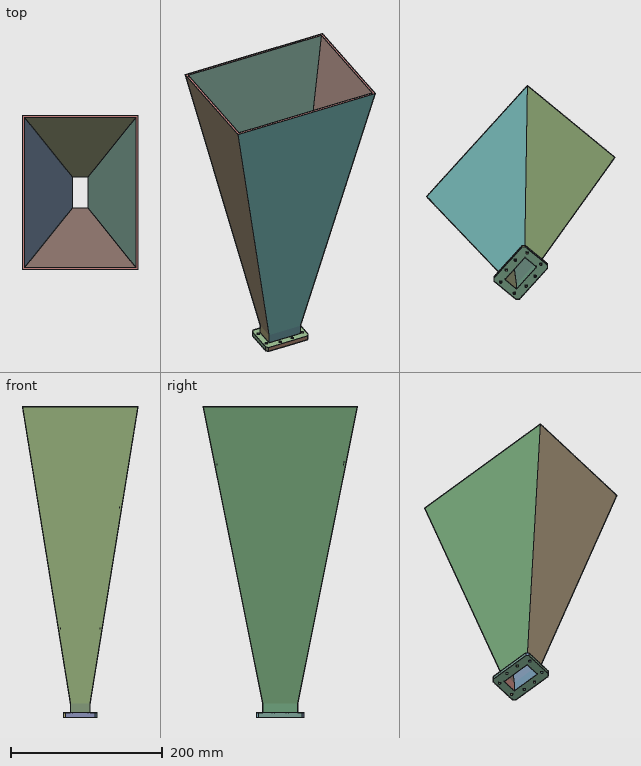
import cadquery as cq

bore_x = 20.15
bore_y = 40.4
neck_wall = 3.0
neck_x = bore_x + 2 * neck_wall
neck_y = bore_y + 2 * neck_wall

mouth_x = 152.6
mouth_y = 203.61
rim_wall = 3.1

total_height = 410.0
flange_thickness = 6.4
neck_top = 18.3

flange_x = 44.65
flange_y = 63.1
flange_chamfer = 3.0

hole_diameter = 3.2
end_hole_x = 12.0
end_hole_y = 26.7
side_hole_x = 17.2
side_hole_y = 9.0


def block(size_x, size_y, height):
    """Centred rectangular block standing on the flange face."""
    return cq.Workplane("XY").rect(size_x, size_y).extrude(height)


def pyramid(bottom_x, bottom_y, top_x, top_y):
    """Four-sided taper from the top of the neck to the mouth."""
    return (
        cq.Workplane("XY")
        .workplane(offset=neck_top)
        .rect(bottom_x, bottom_y)
        .workplane(offset=total_height - neck_top)
        .rect(top_x, top_y)
        .loft(ruled=True)
    )


def flange():
    """Plate with chamfered corners and through screw holes on all four sides."""
    plate = block(flange_x, flange_y, flange_thickness).edges("|Z").chamfer(flange_chamfer)
    hole_centres = []
    for sign_x in (-1, 1):
        for sign_y in (-1, 1):
            hole_centres.append((sign_x * end_hole_x, sign_y * end_hole_y))
            hole_centres.append((sign_x * side_hole_x, sign_y * side_hole_y))
    holes = (
        cq.Workplane("XY")
        .pushPoints(hole_centres)
        .circle(hole_diameter / 2)
        .extrude(flange_thickness)
    )
    return plate.cut(holes)


def outer_body():
    """Solid flange, neck and horn before the waveguide passage is cut."""
    neck = block(neck_x, neck_y, neck_top)
    horn = pyramid(neck_x, neck_y, mouth_x, mouth_y)
    return flange().union(neck).union(horn)


def passage():
    """Straight bore through flange and neck, flaring out to the mouth."""
    bore = block(bore_x, bore_y, neck_top)
    flare = pyramid(bore_x, bore_y, mouth_x - 2 * rim_wall, mouth_y - 2 * rim_wall)
    return bore.union(flare)


result = outer_body().cut(passage())